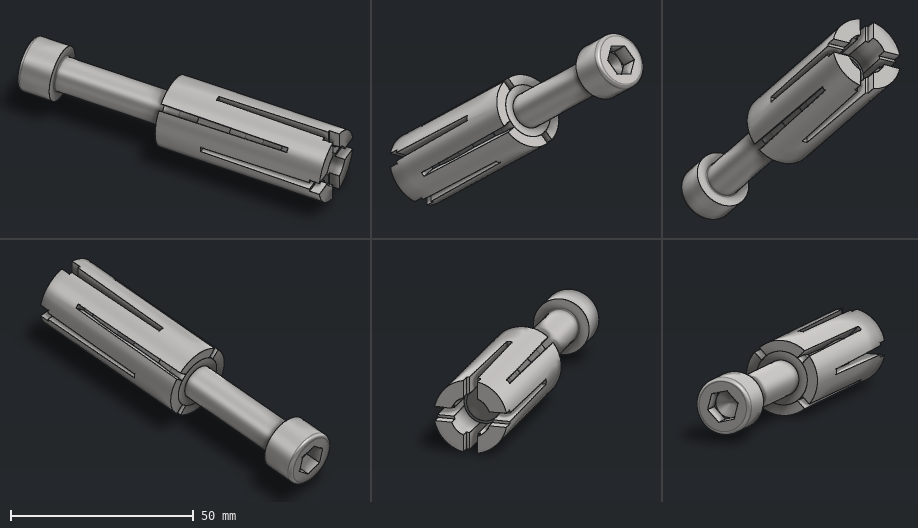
import cadquery as cq
import math

overall_length = 93.6

head_diameter = 16.0
head_length = 10.0
head_rim_fillet = 1.0
shank_diameter = 10.0
under_head_fillet = 0.3
hex_across_flats = 8.0
hex_depth = 5.0
hex_turn = 15.0
drill_point_angle = 120.0

sleeve_diameter = 21.0
sleeve_length = 50.1
sleeve_start = overall_length - sleeve_length

nut_large_radius = 7.5
nut_neck_radius = 5.4
nut_taper = 0.25
cone_length = (nut_large_radius - nut_neck_radius) / nut_taper
front_collar_end = 48.4
front_cone_end = front_collar_end + cone_length
rear_cone_start = 60.3
rear_collar_start = rear_cone_start + cone_length
rear_collar_length = 5.3
rear_collar_end = rear_collar_start + rear_collar_length
nut_end = 80.9
nut_tip_radius = nut_large_radius - (nut_end - rear_collar_end) * nut_taper
screw_end = nut_end

front_slot_end = 82.3
front_slot_open_width = 2.0
front_slot_closed_width = 1.2
front_slot_floor_radius = 6.2

rear_slot_start = 57.4
rear_slot_open_width = 2.5
rear_slot_closed_width = 1.5
rear_slot_floor_radius = 0
notch_width = 4.0
notch_length = 3.0

slot_count = 4
slot_pitch = 360.0 / slot_count
slot_cutter_top = sleeve_diameter


def rod(start, end, diameter):
    """Cylinder along X."""
    return cq.Workplane("YZ", origin=(start, 0, 0)).circle(diameter / 2).extrude(end - start)


def turned(outline):
    """Solid of revolution about X from (x, radius) points."""
    return cq.Workplane("XY").polyline(outline).close().revolve(360, (0, 0, 0), (1, 0, 0))


def nut_envelope():
    """Outside shape of the nut: front collar, neck and rear double-tapered collar."""
    return turned(
        [
            (sleeve_start, 0),
            (sleeve_start, nut_large_radius),
            (front_collar_end, nut_large_radius),
            (front_cone_end, nut_neck_radius),
            (rear_cone_start, nut_neck_radius),
            (rear_collar_start, nut_large_radius),
            (rear_collar_end, nut_large_radius),
            (nut_end, nut_tip_radius),
            (nut_end, 0),
        ]
    )


def hex_socket():
    """Hexagonal pocket with a conical drill point at its bottom."""
    pocket = (
        cq.Workplane("YZ")
        .transformed(rotate=(0, 0, hex_turn))
        .polygon(6, hex_across_flats, circumscribed=True)
        .extrude(hex_depth)
    )
    point_radius = hex_across_flats / 2
    point_depth = point_radius / math.tan(math.radians(drill_point_angle / 2))
    point = turned([(hex_depth, 0), (hex_depth, point_radius), (hex_depth + point_depth, 0)])
    return pocket.union(point)


def make_screw():
    """Socket head screw with a plain shank."""
    head = rod(0, head_length, head_diameter).faces("<X").edges().fillet(head_rim_fillet)
    body = head.union(rod(head_length, screw_end, shank_diameter))
    shoulder = body.faces(cq.selectors.NearestToPointSelector((head_length, 0, 0)))
    neck_circle = shoulder.edges(cq.selectors.RadiusNthSelector(0))
    return neck_circle.fillet(under_head_fillet).cut(hex_socket())


def make_nut():
    """Expander nut with a plain bore for the screw."""
    return nut_envelope().cut(rod(sleeve_start, nut_end, shank_diameter))


def tapered_slot(start, end, start_width, end_width, floor_radius):
    """Slot cutter on the +Z side whose width changes evenly from start to end."""
    return (
        cq.Workplane("XY", origin=(0, 0, floor_radius))
        .polyline(
            [
                (start, -start_width / 2),
                (end, -end_width / 2),
                (end, end_width / 2),
                (start, start_width / 2),
            ]
        )
        .close()
        .extrude(slot_cutter_top - floor_radius)
    )


def rear_slot():
    """Through slot that widens to a rectangular notch at the far end."""
    slot = tapered_slot(
        rear_slot_start,
        overall_length,
        rear_slot_closed_width,
        rear_slot_open_width,
        rear_slot_floor_radius,
    )
    notch = tapered_slot(
        overall_length - notch_length,
        overall_length,
        notch_width,
        notch_width,
        rear_slot_floor_radius,
    )
    return slot.union(notch)


def make_sleeve():
    """Slotted sleeve whose cavity follows the nut and carries on as a bore to the far end."""
    sleeve = rod(sleeve_start, overall_length, sleeve_diameter)
    end_bore = rod(nut_end, overall_length, 2 * nut_tip_radius)
    sleeve = sleeve.cut(nut_envelope()).cut(end_bore)
    front_slot = tapered_slot(
        sleeve_start,
        front_slot_end,
        front_slot_open_width,
        front_slot_closed_width,
        front_slot_floor_radius,
    )
    for index in range(slot_count):
        turn = index * slot_pitch
        sleeve = sleeve.cut(rear_slot().rotate((0, 0, 0), (1, 0, 0), turn))
        sleeve = sleeve.cut(front_slot.rotate((0, 0, 0), (1, 0, 0), turn + slot_pitch / 2))
    return sleeve


screw = make_screw()
nut = make_nut()
sleeve = make_sleeve()

result = cq.Compound.makeCompound([body.solids().val() for body in (screw, nut, sleeve)])